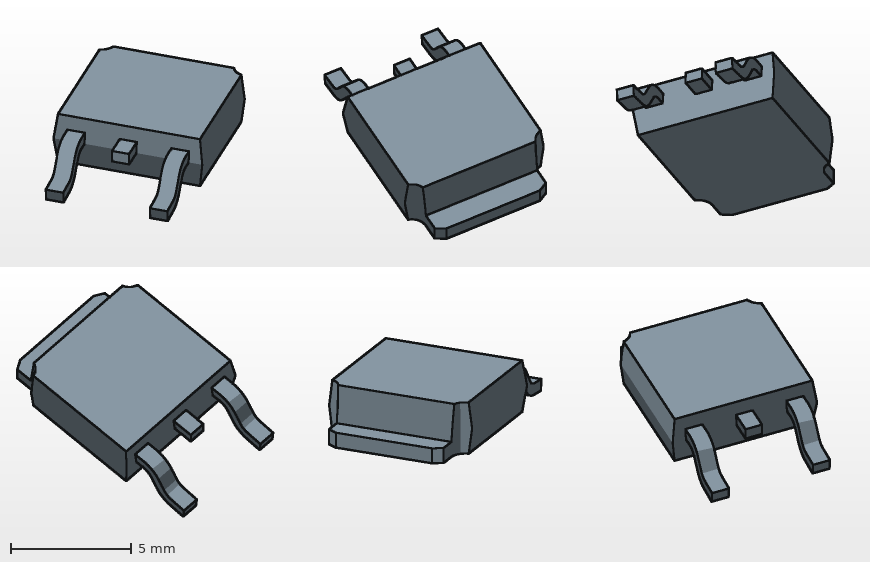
import cadquery as cq
import math

body_width = 6.54
body_length = 6.16
body_height = 2.29
parting_height = body_height / 2
draft_angle = 7.5
corner_notch_radius = 0.65

tab_thickness = 0.67
tab_length = 1.02
tab_width = body_width - 2 * corner_notch_radius
tab_chamfer_x = 0.42
tab_chamfer_y = 0.24

lead_thickness = 0.51
lead_width = 0.77
lead_pitch = 2.285
lead_embed = 0.5
center_lead_width = 0.75
center_lead_length = 0.93

bend_start = 0.41
bend_inner_radius = 0.53
bend_outer_radius = bend_inner_radius + lead_thickness
slope_angle = 56.5
foot_angle = 5.0
foot_length = 0.75
foot_standoff = 0.13


def make_body():
    """Body drafted on both sides of the parting plane, with notched rear corners."""
    draft = math.tan(math.radians(draft_angle))
    side_inset = parting_height * draft
    back_inset = (body_height - tab_thickness) * draft
    half_width = body_width / 2

    cross_section = (
        cq.Workplane("XZ")
        .moveTo(-half_width + side_inset, 0)
        .lineTo(half_width - side_inset, 0)
        .lineTo(half_width, parting_height)
        .lineTo(half_width - side_inset, body_height)
        .lineTo(-half_width + side_inset, body_height)
        .lineTo(-half_width, parting_height)
        .close()
        .extrude(-body_length)
    )
    side_profile = (
        cq.Workplane("YZ")
        .moveTo(side_inset, 0)
        .lineTo(body_length, 0)
        .lineTo(body_length, tab_thickness)
        .lineTo(body_length - back_inset, body_height)
        .lineTo(side_inset, body_height)
        .lineTo(0, parting_height)
        .close()
        .extrude(half_width, both=True)
    )
    corner_notches = (
        cq.Workplane("XY")
        .pushPoints([(-half_width, body_length), (half_width, body_length)])
        .circle(corner_notch_radius)
        .extrude(body_height)
    )
    return cross_section.intersect(side_profile).cut(corner_notches)


def make_tab():
    """Flat tab flush with the body bottom, with clipped outer corners."""
    half_width = tab_width / 2
    front = body_length - corner_notch_radius
    back = body_length + tab_length
    return (
        cq.Workplane("XY")
        .moveTo(-half_width, front)
        .lineTo(half_width, front)
        .lineTo(half_width, back - tab_chamfer_y)
        .lineTo(half_width - tab_chamfer_x, back)
        .lineTo(-half_width + tab_chamfer_x, back)
        .lineTo(-half_width, back - tab_chamfer_y)
        .close()
        .extrude(tab_thickness)
    )


def make_center_lead():
    """Short straight stub between the two outer leads."""
    return cq.Workplane("XY").box(
        center_lead_width,
        center_lead_length + lead_embed,
        lead_thickness,
        centered=(True, False, False),
    ).translate((0, -center_lead_length, parting_height))


def shifted(point, angle, normal_distance, travel_distance=0.0):
    """Move a (y, z) point along the normal and direction of a lead sloping down at angle degrees."""
    sine = math.sin(math.radians(angle))
    cosine = math.cos(math.radians(angle))
    return (
        point[0] - normal_distance * sine - travel_distance * cosine,
        point[1] + normal_distance * cosine - travel_distance * sine,
    )


def make_outer_lead(x_center):
    """Gull-wing lead: straight root, downward bend, slope, upward bend, slightly tilted foot."""
    upper_center = (-bend_start, parting_height - bend_inner_radius)
    center_gap = bend_outer_radius + bend_inner_radius

    unsloped_center = shifted(upper_center, slope_angle, center_gap)
    unsloped_tip = shifted(unsloped_center, foot_angle, -bend_outer_radius, foot_length)
    slope_length = (unsloped_tip[1] + foot_standoff) / math.sin(math.radians(slope_angle))
    lower_center = shifted(unsloped_center, slope_angle, 0, slope_length)

    upper_mid_angle = slope_angle / 2
    lower_mid_angle = (slope_angle + foot_angle) / 2
    lead_top = parting_height + lead_thickness

    return (
        cq.Workplane("YZ")
        .moveTo(lead_embed, lead_top)
        .lineTo(-bend_start, lead_top)
        .threePointArc(
            shifted(upper_center, upper_mid_angle, bend_outer_radius),
            shifted(upper_center, slope_angle, bend_outer_radius),
        )
        .lineTo(*shifted(lower_center, slope_angle, -bend_inner_radius))
        .threePointArc(
            shifted(lower_center, lower_mid_angle, -bend_inner_radius),
            shifted(lower_center, foot_angle, -bend_inner_radius),
        )
        .lineTo(*shifted(lower_center, foot_angle, -bend_inner_radius, foot_length))
        .lineTo(*shifted(lower_center, foot_angle, -bend_outer_radius, foot_length))
        .lineTo(*shifted(lower_center, foot_angle, -bend_outer_radius))
        .threePointArc(
            shifted(lower_center, lower_mid_angle, -bend_outer_radius),
            shifted(lower_center, slope_angle, -bend_outer_radius),
        )
        .lineTo(*shifted(upper_center, slope_angle, bend_inner_radius))
        .threePointArc(
            shifted(upper_center, upper_mid_angle, bend_inner_radius),
            (-bend_start, parting_height),
        )
        .lineTo(lead_embed, parting_height)
        .close()
        .extrude(lead_width / 2, both=True)
        .translate((x_center, 0, 0))
    )


result = make_body().union(make_tab()).union(make_center_lead())
for lead_x in (-lead_pitch, lead_pitch):
    result = result.union(make_outer_lead(lead_x))